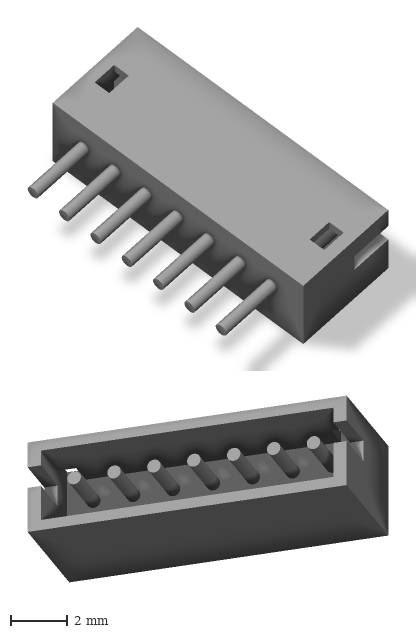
import cadquery as cq

length = 12.0
depth = 4.5
height = 3.5
end_wall = 0.5
plate_wall = 0.4

slot_depth = 1.8
slot_height = 0.8
slot_drop = 0.97

window_width = 0.7
window_depth = 1.03
back_wall = depth - slot_depth - window_depth

pin_count = 7
pin_pitch = 1.5
pin_diameter = 0.5
pin_drop = 1.3
pin_tail = 2.7
pin_tip_recess = 0.72


def box(size_x, y_min, y_max, z_min, z_max, x_center=0):
    """Box centred on x_center, spanning the given Y and Z ranges."""
    size = (size_x, y_max - y_min, z_max - z_min)
    solid = cq.Workplane("XY").box(*size, centered=(True, False, False))
    return solid.translate((x_center, y_min, z_min))


def make_housing():
    body = box(length, 0, depth, 0, height)
    cavity = box(length - 2 * end_wall, back_wall, depth, plate_wall, height - plate_wall)
    slot_top = height - slot_drop
    slots = box(length, depth - slot_depth, depth, slot_top - slot_height, slot_top)
    body = body.cut(cavity).cut(slots)
    ceiling = height - plate_wall
    window_end = back_wall + window_depth
    window_x = (length - window_width) / 2 - end_wall
    for side in (-1, 1):
        window = box(window_width, back_wall, window_end, ceiling, height, side * window_x)
        body = body.cut(window)
    return body


def make_pin(x):
    pin_length = pin_tail + depth - pin_tip_recess
    pin = cq.Workplane("XZ").circle(pin_diameter / 2).extrude(-pin_length)
    return pin.translate((x, -pin_tail, height - pin_drop))


result = make_housing()
for index in range(pin_count):
    result = result.union(make_pin((index - (pin_count - 1) / 2) * pin_pitch))